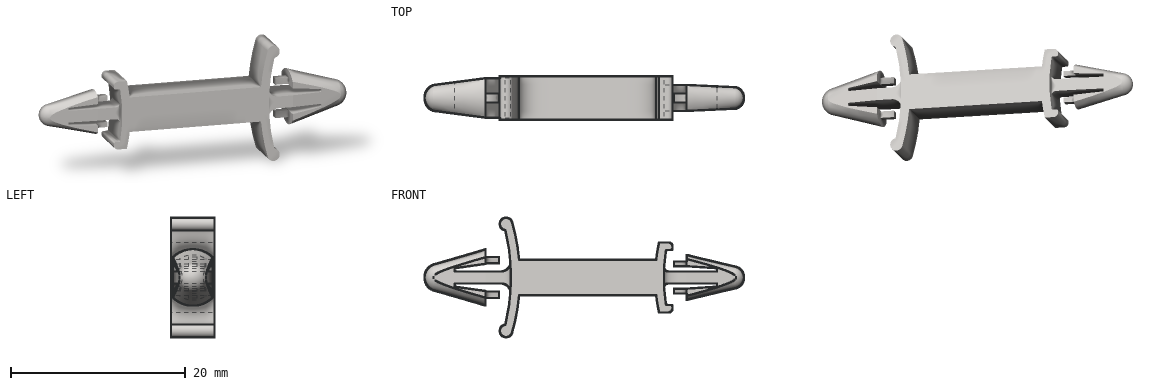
import cadquery as cq
import math


width = 5.0
body_height = 4.1
span = 17.49

wing_height = 13.7
wing_thickness = 1.04
wing_face_radius = 22.5
bead_radius = 0.73
bead_x = -0.56

foot_height = 8.05
foot_thickness = 1.0
foot_face_radius = 18.0
toe_inner_z = 3.13
toe_tip_x = span + 1.01
toe_round = 0.5
toe_edge_round = 0.2
toe_corner_round = 0.15

stem_height = 1.4
tab_width = 1.0

wing_anchor = dict(
    stem_width=4.54,
    root_radius=1.15,
    barb_start=2.91,
    barb_radius=3.24,
    dome_start=8.88,
    dome_radius=1.49,
    tip=9.91,
    slot_end=6.46,
    slot_end_gap=0.34,
    slot_mouth_gap=0.84,
    slot_round=0.15,
    tab_start=1.35,
    tab_step=0.06,
    tab_thickness=0.76,
)

foot_anchor = dict(
    stem_width=3.0,
    root_radius=0.52,
    barb_start=2.62,
    barb_radius=2.59,
    dome_start=8.25,
    dome_radius=1.24,
    tip=9.2,
    slot_end=6.07,
    slot_end_gap=0.34,
    slot_mouth_gap=0.57,
    slot_round=0.0,
    tab_start=1.16,
    tab_step=0.0,
    tab_thickness=0.57,
)


def bow(radius, z):
    """Distance that an arc centred on Z = 0 falls back from its crown at height z."""
    return radius - math.sqrt(radius**2 - z**2)


def extrude_across(outline, depth):
    """Extrude an XZ outline by depth, centred on Y = 0."""
    return outline.extrude(depth / 2, both=True)


def make_body():
    start = wing_thickness / 2
    end = span - foot_thickness / 2
    outline = cq.Workplane("XZ").center((start + end) / 2, 0).rect(end - start, body_height)
    return extrude_across(outline, width)


def make_wing():
    bead_z = wing_height / 2 - bead_radius
    offset = wing_thickness - bead_x
    back_radius = (offset**2 + bead_z**2 - bead_radius**2) / (2 * (offset - bead_radius))
    angle = math.asin(bead_z / (back_radius - bead_radius))
    tangent_z = back_radius * math.sin(angle)
    tangent_x = wing_thickness - bow(back_radius, tangent_z)
    face_z = bead_z - bead_radius / 2
    face_x = -bow(wing_face_radius, face_z)

    outline = (
        cq.Workplane("XZ")
        .moveTo(face_x, -face_z)
        .threePointArc((0, 0), (face_x, face_z))
        .lineTo(bead_x, bead_z)
        .lineTo(tangent_x, tangent_z)
        .threePointArc((wing_thickness, 0), (tangent_x, -tangent_z))
        .lineTo(bead_x, -bead_z)
        .close()
    )
    beads = cq.Workplane("XZ").pushPoints([(bead_x, bead_z), (bead_x, -bead_z)]).circle(bead_radius)
    return extrude_across(outline, width).union(extrude_across(beads, width))


def make_foot():
    top = foot_height / 2
    back_crown = span - foot_thickness
    back_x = back_crown + bow(foot_face_radius, top)
    face_x = span + bow(foot_face_radius, toe_inner_z)

    outline = (
        cq.Workplane("XZ")
        .moveTo(back_x, -top)
        .threePointArc((back_crown, 0), (back_x, top))
        .lineTo(toe_tip_x, top)
        .lineTo(toe_tip_x, toe_inner_z)
        .lineTo(face_x, toe_inner_z)
        .threePointArc((span, 0), (face_x, -toe_inner_z))
        .lineTo(toe_tip_x, -toe_inner_z)
        .lineTo(toe_tip_x, -top)
        .close()
    )
    foot = extrude_across(outline, width)
    for side in (1, -1):
        foot = round_edge_at(foot, toe_tip_x, side * top, toe_round)
        foot = round_edge_at(foot, toe_tip_x, side * toe_inner_z, toe_edge_round)
        foot = round_edge_at(foot, face_x, side * toe_inner_z, toe_corner_round)
    return foot


def round_edge_at(solid, x, z, radius):
    """Fillet the edge parallel to Y that passes nearest to (x, z)."""
    return solid.edges("|Y").edges(cq.selectors.NearestToPointSelector((x, 0, z))).fillet(radius)


def make_head(a):
    """Cone with a domed tip, narrowed in Y by two flats that taper towards the dome."""
    dome_height = a["tip"] - a["dome_start"]
    sphere_radius = (a["dome_radius"]**2 + dome_height**2) / (2 * dome_height)
    mid_radius = a["dome_radius"] / 2
    dome_mid = (a["tip"] - bow(sphere_radius, mid_radius), mid_radius)
    cone = (
        cq.Workplane("XY")
        .moveTo(a["barb_start"], 0)
        .lineTo(a["barb_start"], a["barb_radius"])
        .lineTo(a["dome_start"], a["dome_radius"])
        .threePointArc(dome_mid, (a["tip"], 0))
        .close()
        .revolve(360, (0, 0, 0), (1, 0, 0))
    )
    half_stem = a["stem_width"] / 2
    flats = (
        cq.Workplane("XY")
        .moveTo(a["barb_start"], -half_stem)
        .lineTo(a["dome_start"], -a["dome_radius"])
        .lineTo(a["tip"], -a["dome_radius"])
        .lineTo(a["tip"], a["dome_radius"])
        .lineTo(a["dome_start"], a["dome_radius"])
        .lineTo(a["barb_start"], half_stem)
        .close()
        .extrude(a["barb_radius"], both=True)
    )
    return cone.intersect(flats)


def make_slot(a):
    """Wedge-shaped gap between the stem and the upper barb arm."""
    stem_z = stem_height / 2
    end_z = stem_z + a["slot_end_gap"]
    outline = (
        cq.Workplane("XZ")
        .moveTo(a["barb_start"], stem_z)
        .lineTo(a["slot_end"], stem_z)
        .lineTo(a["slot_end"], end_z)
        .lineTo(a["barb_start"], stem_z + a["slot_mouth_gap"])
        .close()
    )
    slot = extrude_across(outline, width)
    if a["slot_round"] > 0:
        slot = slot.faces(">X").edges("|Y").fillet(a["slot_round"])
    return slot


def make_stem(a, embed):
    """Flat stem with a filleted root, reaching back by embed into the plate it stands on."""
    z = stem_height / 2
    root_radius = a["root_radius"]
    root_z = z + root_radius
    arc_reach = root_radius * (1 - math.sqrt(0.5))
    outline = (
        cq.Workplane("XZ")
        .moveTo(-embed, -root_z)
        .lineTo(0, -root_z)
        .threePointArc((arc_reach, -z - arc_reach), (root_radius, -z))
        .lineTo(a["barb_start"], -z)
        .lineTo(a["barb_start"], z)
        .lineTo(root_radius, z)
        .threePointArc((arc_reach, z + arc_reach), (0, root_z))
        .lineTo(-embed, root_z)
        .close()
    )
    return extrude_across(outline, a["stem_width"])


def make_tab(a):
    """Small finger standing back from the end of the upper barb arm."""
    inner_z = stem_height / 2 + a["slot_mouth_gap"] + a["tab_step"]
    length = a["barb_start"] - a["tab_start"]
    tab = cq.Workplane("XY").box(length, tab_width, a["tab_thickness"], centered=(False, True, False))
    return tab.translate((a["tab_start"], 0, inner_z))


def make_anchor(a, embed):
    """Complete anchor pointing along +X from X = 0."""
    slot = make_slot(a)
    tab = make_tab(a)
    head = make_head(a).cut(slot).cut(slot.mirror("XY"))
    return head.union(make_stem(a, embed)).union(tab).union(tab.mirror("XY"))


left_anchor = make_anchor(wing_anchor, wing_thickness / 2).mirror("YZ")
right_anchor = make_anchor(foot_anchor, foot_thickness / 2).translate((span, 0, 0))

result = make_body().union(make_wing()).union(make_foot()).union(left_anchor).union(right_anchor)